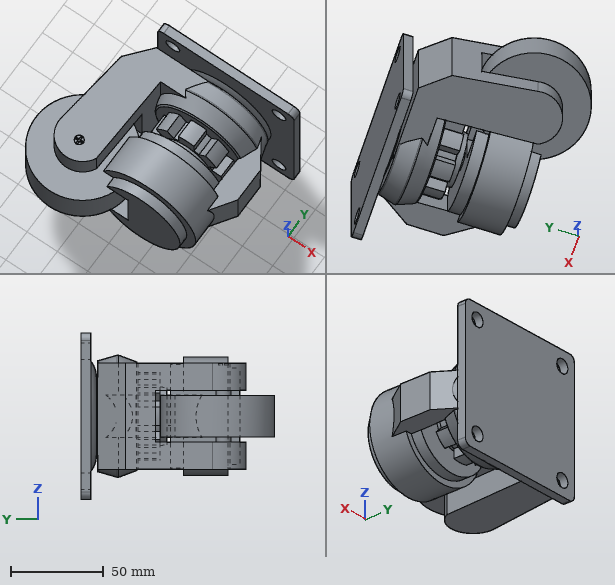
import cadquery as cq
import math


plate_size = 90.0
plate_thickness = 5.5
plate_corner_radius = 4.0
bolt_spacing = 70.0
bolt_hole_diameter = 9.0

dome_base_radius = 29.7
dome_depth = 8.5
neck_radius = 42.18 / 2

housing_top_depth = 9.1
housing_band = 0.8
housing_end_radius = 30.2
housing_waist_radius = 33.0
housing_waist_depth = 20.05
housing_bottom_depth = 30.9
housing_rim_radius = 29.4
housing_floor_radius = 28.4

gear_bottom_depth = 42.7
gear_radius = 23.5
gear_root_radius = 17.6
tooth_count = 8
tooth_width = 10.2
collar_bottom_depth = 46.5
collar_top_radius = 15.9
collar_bottom_radius = 15.3
spindle_diameter = 10.0

foot_top_depth = 48.4
foot_shoulder_depth = 55.4
foot_step_depth = 79.6
foot_bottom_depth = 85.9
foot_shoulder_radius = 28.1
foot_radius = 32.0
foot_pad_top_radius = 26.2
foot_pad_bottom_radius = 26.1
foot_notch_end_x = -8.0

wheel_diameter = 61.8
wheel_width = 22.6
wheel_x = -46.54
wheel_depth = 73.8
axle_diameter = 8.0
axle_depth = 77.0
screw_head_diameter = 5.42
screw_head_recess = 0.3
screw_slot_width = 0.9
screw_slot_depth = 0.8

fork_width = 57.4
fork_gap = 28.0
fork_gap_start_depth = 40.3
fork_top_depth = 9.05
fork_web_bottom_depth = 24.1
fork_end_radius = 15.4
fork_top_corner_x = -43.3
fork_outer_corner_x = -55.9
fork_inner_corner_x = -30.0
fork_inner_end_x = -32.7
fork_outer_end_depth = 71.1

arm_width = 23.2
arm_outer_x = 39.7
arm_inner_top_x = 25.9
arm_inner_bottom_x = 25.4
arm_root_x = 20.0
arm_top_depth = 10.5
arm_top_x = 27.0
arm_upper_corner_depth = 29.8
arm_lower_corner_depth = 50.8
arm_foot_depth = 67.4
arm_foot_x = 28.5


def disc(radius, start_depth, end_depth):
    """Cylinder on the swivel axis between two depths."""
    return (
        cq.Workplane("XZ", origin=(0, -start_depth, 0))
        .circle(radius)
        .extrude(end_depth - start_depth)
    )


def turned(points):
    """Solid turned about the swivel axis from (radius, depth) points."""
    outline = [(radius, -depth) for radius, depth in points]
    return cq.Workplane("XY").polyline(outline).close().revolve(360, (0, 0), (0, 1))


def make_plate():
    plate = (
        cq.Workplane("XZ")
        .rect(plate_size, plate_size)
        .extrude(plate_thickness)
        .edges("|Y")
        .fillet(plate_corner_radius)
    )
    holes = (
        cq.Workplane("XZ")
        .rect(bolt_spacing, bolt_spacing, forConstruction=True)
        .vertices()
        .circle(bolt_hole_diameter / 2)
        .extrude(plate_thickness)
    )
    return plate.cut(holes)


def make_dome():
    """Dome whose rounded flank runs tangent into its flat face, with the neck below."""
    flank_width = dome_base_radius - neck_radius
    dome_height = dome_depth - plate_thickness
    flank_radius = (flank_width**2 + dome_height**2) / (2 * dome_height)
    half_angle = math.asin(flank_width / flank_radius) / 2
    mid_point = (
        neck_radius + flank_radius * math.sin(half_angle),
        -dome_depth + flank_radius * (1 - math.cos(half_angle)),
    )
    dome = (
        cq.Workplane("XY")
        .moveTo(0, -plate_thickness)
        .lineTo(dome_base_radius, -plate_thickness)
        .threePointArc(mid_point, (neck_radius, -dome_depth))
        .lineTo(0, -dome_depth)
        .close()
        .revolve(360, (0, 0), (0, 1))
    )
    return dome.union(disc(neck_radius, dome_depth, housing_top_depth))


def make_housing():
    return turned([
        (0, housing_top_depth),
        (housing_end_radius, housing_top_depth),
        (housing_end_radius, housing_top_depth + housing_band),
        (housing_waist_radius, housing_waist_depth - housing_band / 2),
        (housing_waist_radius, housing_waist_depth + housing_band / 2),
        (housing_rim_radius, housing_bottom_depth - housing_band),
        (housing_floor_radius, housing_bottom_depth),
        (0, housing_bottom_depth),
    ])


def make_adjuster():
    """Toothed wheel with straight-sided teeth, tapered collar and spindle."""
    gear_height = gear_bottom_depth - housing_bottom_depth
    adjuster = disc(gear_root_radius, housing_bottom_depth, gear_bottom_depth)
    tooth = (
        cq.Workplane("XY")
        .box(gear_radius, gear_height, tooth_width, centered=(False, False, True))
        .translate((0, -gear_bottom_depth, 0))
        .intersect(disc(gear_radius, housing_bottom_depth, gear_bottom_depth))
    )
    for index in range(tooth_count):
        adjuster = adjuster.union(tooth.rotate((0, 0, 0), (0, 1, 0), index * 360 / tooth_count))
    collar = turned([
        (0, gear_bottom_depth),
        (collar_top_radius, gear_bottom_depth),
        (collar_bottom_radius, collar_bottom_depth),
        (0, collar_bottom_depth),
    ])
    spindle = disc(spindle_diameter / 2, collar_bottom_depth, foot_top_depth)
    return adjuster.union(collar).union(spindle)


def make_foot():
    """Stepped foot with a slightly tapered pad, notched on one side to clear the caster wheel."""
    pad = turned([
        (0, foot_step_depth),
        (foot_pad_top_radius, foot_step_depth),
        (foot_pad_bottom_radius, foot_bottom_depth),
        (0, foot_bottom_depth),
    ])
    foot = (
        disc(foot_shoulder_radius, foot_top_depth, foot_shoulder_depth)
        .union(disc(foot_radius, foot_shoulder_depth, foot_step_depth))
        .union(pad)
    )
    notch = (
        cq.Workplane("XZ", origin=(0, -foot_top_depth, 0))
        .center(foot_notch_end_x - foot_radius / 2, 0)
        .rect(foot_radius, fork_gap)
        .extrude(foot_bottom_depth - foot_top_depth)
    )
    return foot.cut(notch)


def make_arm():
    """Bracket-shaped arm whose ends are buried in the housing and the foot."""
    return (
        cq.Workplane("XY")
        .polyline([
            (arm_root_x, -arm_top_depth),
            (arm_top_x, -arm_top_depth),
            (arm_outer_x, -arm_upper_corner_depth),
            (arm_outer_x, -arm_lower_corner_depth),
            (arm_foot_x, -arm_foot_depth),
            (arm_inner_bottom_x, -arm_foot_depth),
            (arm_inner_bottom_x, -foot_top_depth),
            (arm_inner_top_x, -housing_bottom_depth),
            (arm_root_x, -housing_bottom_depth),
        ])
        .close()
        .extrude(arm_width / 2, both=True)
    )


def make_fork():
    """Fork with a web into the housing and two legs rounded about the wheel centre."""
    outer_end_rise = wheel_depth - fork_outer_end_depth
    outer_end_x = wheel_x - math.sqrt(fork_end_radius**2 - outer_end_rise**2)
    inner_end_drop = math.sqrt(fork_end_radius**2 - (fork_inner_end_x - wheel_x) ** 2)
    fork = (
        cq.Workplane("XY")
        .moveTo(0, -fork_top_depth)
        .lineTo(fork_top_corner_x, -fork_top_depth)
        .lineTo(fork_outer_corner_x, -fork_web_bottom_depth)
        .lineTo(outer_end_x, -fork_outer_end_depth)
        .threePointArc(
            (wheel_x, -wheel_depth - fork_end_radius),
            (fork_inner_end_x, -wheel_depth - inner_end_drop),
        )
        .lineTo(fork_inner_corner_x, -fork_web_bottom_depth)
        .lineTo(0, -fork_web_bottom_depth)
        .close()
        .extrude(fork_width / 2, both=True)
    )
    gap_length = wheel_depth + fork_end_radius - fork_gap_start_depth
    gap_span = 3 * fork_end_radius
    gap = (
        cq.Workplane("XZ", origin=(wheel_x, -fork_gap_start_depth, 0))
        .rect(gap_span, fork_gap)
        .extrude(gap_length)
    )
    return fork.cut(gap)


def make_wheel():
    wheel = (
        cq.Workplane("XY", origin=(wheel_x, -wheel_depth, -wheel_width / 2))
        .circle(wheel_diameter / 2)
        .extrude(wheel_width)
    )
    axle = (
        cq.Workplane("XY", origin=(wheel_x, -axle_depth, -fork_gap / 2))
        .circle(axle_diameter / 2)
        .extrude(fork_gap)
    )
    return wheel.union(axle)


def make_screw_recess():
    """Shallow round recess showing the axle screw head and its cross slot."""
    top = cq.Workplane("XY", origin=(wheel_x, -axle_depth, fork_width / 2))
    head_recess = top.circle(screw_head_diameter / 2).extrude(-screw_head_recess)
    slot_total = screw_head_recess + screw_slot_depth
    slot_blank = top.circle(screw_head_diameter / 2).extrude(-slot_total)
    cross = (
        top.rect(screw_head_diameter, screw_slot_width)
        .extrude(-slot_total)
        .union(top.rect(screw_slot_width, screw_head_diameter).extrude(-slot_total))
    )
    return head_recess.union(cross.intersect(slot_blank))


result = (
    make_plate()
    .union(make_dome())
    .union(make_housing())
    .union(make_adjuster())
    .union(make_foot())
    .union(make_arm())
    .union(make_fork())
    .union(make_wheel())
    .cut(make_screw_recess())
)